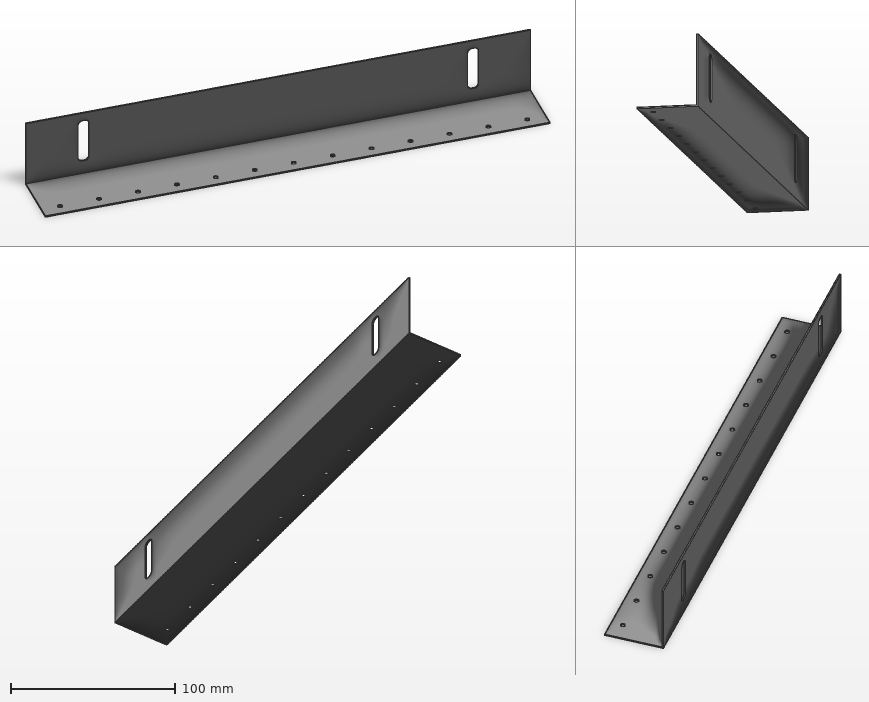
import cadquery as cq

length = 324.0
base_width = 38.0
wall_height = 45.0
thickness = 1.0

hole_diameter = 3.0
hole_count = 13
hole_end_distance = 12.0
hole_pitch = (length - 2 * hole_end_distance) / (hole_count - 1)
hole_edge_distance = 7.5

slot_width = 7.0
slot_corner_radius = 3.0
slot_length = 29.5
slot_top_margin = 5.5
slot_spacing = 250.0


def angle_profile():
    """L-section with its outer corner at the origin, extruded along Y."""
    section = (
        cq.Workplane("XZ")
        .polyline([
            (0, 0),
            (base_width, 0),
            (base_width, thickness),
            (thickness, thickness),
            (thickness, wall_height),
            (0, wall_height),
        ])
        .close()
    )
    return section.extrude(length / 2, both=True)


def base_holes():
    """Evenly spaced round cutters through the base, centred along Y."""
    return (
        cq.Workplane("XY")
        .center(base_width - hole_edge_distance, 0)
        .rarray(3.2, hole_pitch, 1, hole_count)
        .circle(hole_diameter / 2)
        .extrude(thickness)
    )


def wall_slots():
    """Two upright cutters with rounded corners through the wall, centred along Y."""
    slot_center_height = wall_height - slot_top_margin - slot_length / 2
    return (
        cq.Workplane("YZ")
        .center(0, slot_center_height)
        .rarray(slot_spacing, 3.2, 2, 1)
        .rect(slot_width, slot_length)
        .extrude(thickness)
        .edges("|X")
        .fillet(slot_corner_radius)
    )


result = angle_profile().cut(base_holes()).cut(wall_slots())